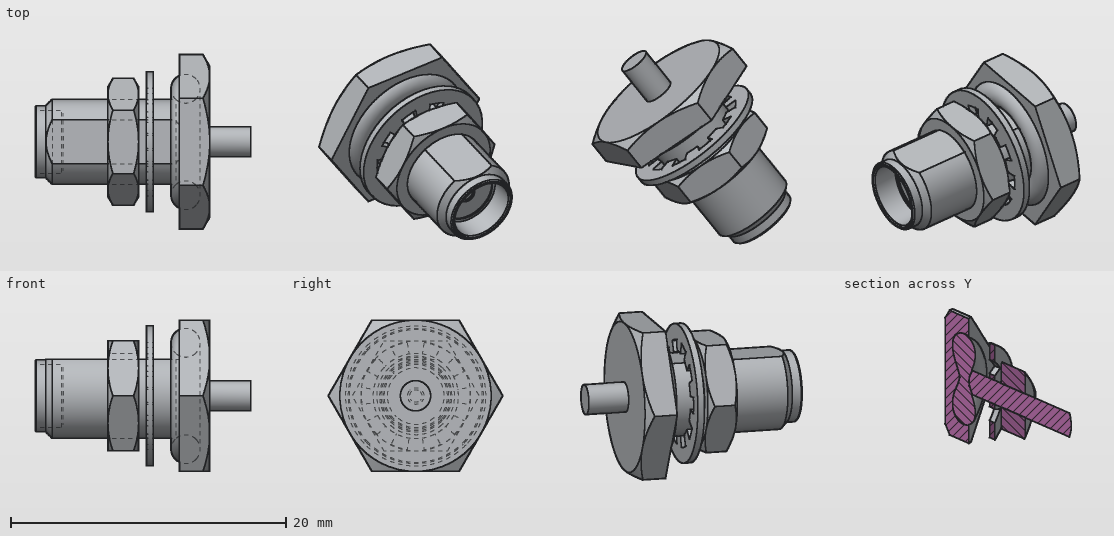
import cadquery as cq
import math


total_length = 15.7
nut_start = 5.3
nut_thickness = 2.23
washer_start = 8.1
washer_thickness = 0.5
flange_start = 10.5
flange_thickness = 2.2
flange_end = flange_start + flange_thickness

barrel_radius = 3.1
barrel_flat_height = 2.66
tip_radius = 2.625
tip_length = 0.77
tip_chamfer = 0.1
barrel_chamfer = barrel_radius - tip_radius
tail_radius = 1.1
flange_across_flats = 11.0

socket_radius = 2.3
socket_depth = 1.9
socket_chamfer = 0.1
insulator_radius = 2.06
insulator_recess = 0.1
contact_radius = 0.6
contact_recess = 0.02
contact_bore_radius = 0.45
contact_bore_depth = 0.03

corner_cone_angle = 30.0

nut_across_flats = 8.0

washer_radius = 5.1
washer_slot_radius = 3.95
washer_slot_count = 10
washer_slot_angle = 180.0 / washer_slot_count

ring_tube_radius = 1.05
ring_centre_radius = 3.87
ring_protrusion = 0.62
ring_centre_x = flange_start - ring_protrusion + ring_tube_radius


def cylinder_x(start, length, radius):
    """Solid cylinder along X."""
    return cq.Workplane("YZ", origin=(start, 0, 0)).circle(radius).extrude(length)


def hexagon_corner_radius(across_flats):
    """Distance from a hexagon's centre to its corners."""
    return across_flats / 2 / math.cos(math.pi / 6)


def hexagon_x(start, length, across_flats):
    """Hexagonal prism along X with corners on +Y and -Y."""
    corner_diameter = 2 * hexagon_corner_radius(across_flats)
    return cq.Workplane("YZ", origin=(start, 0, 0)).polygon(6, corner_diameter).extrude(length)


def corner_cone(start, length, across_flats, both_ends):
    """Turned blank whose conical ends round off the corners of a hexagon."""
    flat_radius = across_flats / 2
    corner_radius = hexagon_corner_radius(across_flats)
    cone_length = (corner_radius - flat_radius) * math.tan(math.radians(corner_cone_angle))
    end = start + length
    outline = cq.Workplane("XY").moveTo(start, 0)
    if both_ends:
        outline = outline.lineTo(start, flat_radius).lineTo(start + cone_length, corner_radius)
    else:
        outline = outline.lineTo(start, corner_radius)
    outline = outline.lineTo(end - cone_length, corner_radius).lineTo(end, flat_radius).lineTo(end, 0)
    return outline.close().revolve(360, (0, 0), (1, 0))


def make_o_ring():
    """Round-section ring around the foot of the barrel."""
    profile = cq.Workplane("XY").moveTo(ring_centre_x, -ring_centre_radius).circle(ring_tube_radius)
    return profile.revolve(360, (0, 0), (1, 0))


def make_barrel():
    """Turned barrel with a stepped tip and one flat along the top."""
    tip = cylinder_x(0, tip_length, tip_radius).faces("<X").chamfer(tip_chamfer)
    barrel = cylinder_x(tip_length, flange_start - tip_length, barrel_radius)
    barrel = barrel.faces("<X").chamfer(barrel_chamfer)
    above_flat = cq.Workplane("XY", origin=(0, 0, barrel_flat_height)).box(
        flange_start, 2 * barrel_radius, barrel_radius, centered=(False, True, False)
    )
    return tip.union(barrel.cut(above_flat))


def make_socket():
    """Stepped hole in the mating face, as the solid to be cut away."""
    insulator_face = socket_depth + insulator_recess
    contact_face = insulator_face + contact_recess
    mouth_radius = socket_radius + socket_chamfer
    outline = [
        (0, 0),
        (0, mouth_radius),
        (socket_chamfer, socket_radius),
        (socket_depth, socket_radius),
        (socket_depth, insulator_radius),
        (insulator_face, insulator_radius),
        (insulator_face, contact_radius),
        (contact_face, contact_radius),
        (contact_face, contact_bore_radius),
        (contact_face + contact_bore_depth, contact_bore_radius),
        (contact_face + contact_bore_depth, 0),
    ]
    return cq.Workplane("XY").polyline(outline).close().revolve(360, (0, 0), (1, 0))


def make_connector_body(o_ring):
    """Barrel, hexagon flange and tail in one piece, with a seat that fits the O-ring."""
    flange = hexagon_x(flange_start, flange_thickness, flange_across_flats)
    flange = flange.intersect(
        corner_cone(flange_start, flange_thickness, flange_across_flats, both_ends=False)
    )
    tail = cylinder_x(flange_end, total_length - flange_end, tail_radius)
    body = make_barrel().union(flange).union(tail)
    return body.cut(make_socket()).cut(o_ring)


def make_nut():
    """Hexagon nut with rounded-off corners at both ends."""
    nut = hexagon_x(nut_start, nut_thickness, nut_across_flats)
    nut = nut.intersect(corner_cone(nut_start, nut_thickness, nut_across_flats, both_ends=True))
    return nut.cut(cylinder_x(nut_start, nut_thickness, barrel_radius))


def make_washer_slot():
    """Sector-shaped gap between two teeth, centred on +Y."""
    half_angle = math.radians(washer_slot_angle / 2)
    across = washer_slot_radius * math.cos(half_angle)
    rise = washer_slot_radius * math.sin(half_angle)
    return (
        cq.Workplane("YZ", origin=(washer_start, 0, 0))
        .lineTo(across, -rise)
        .threePointArc((washer_slot_radius, 0), (across, rise))
        .close()
        .extrude(washer_thickness)
    )


def make_washer():
    """Flat ring with evenly spaced teeth reaching in to the barrel."""
    washer = cylinder_x(washer_start, washer_thickness, washer_radius)
    washer = washer.cut(cylinder_x(washer_start, washer_thickness, barrel_radius))
    slot = make_washer_slot()
    for i in range(washer_slot_count):
        washer = washer.cut(slot.rotate((0, 0, 0), (1, 0, 0), i * 360 / washer_slot_count))
    return washer


o_ring = make_o_ring()
connector_body = make_connector_body(o_ring)
nut = make_nut()
washer = make_washer()

result = cq.Compound.makeCompound([connector_body.val(), nut.val(), washer.val(), o_ring.val()])